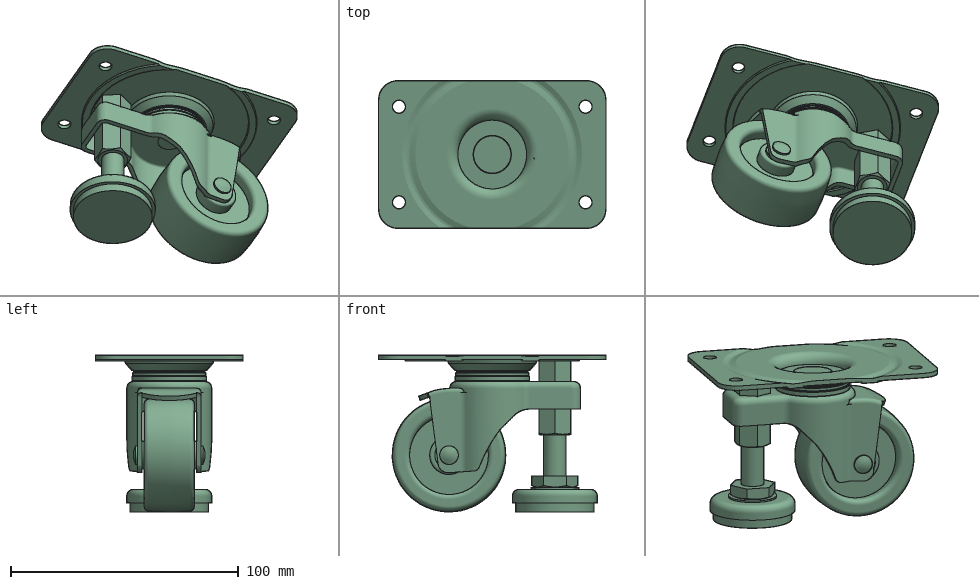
import cadquery as cq
import math


overall_height = 69.0
sheet = 2.0

plate_length = 100.0
plate_width = 65.0
plate_corner_radius = 8.6
bolt_pitch_x = 82.0
bolt_pitch_y = 42.0
bolt_hole_diameter = 5.6
plate_bottom = overall_height - sheet
bead_depth = 0.7
bead_top_radii = (33.7, 36.3, 37.3, 39.5)
bead_bottom_radii = (34.8, 35.2, 38.2, 38.6)
dish_mouth_radius = 20.1
dish_floor_radius = 15.1
dish_bottom = 62.3
dish_floor = dish_bottom + sheet
dish_root = (19.8, plate_bottom)
dish_shoulder = (19.2, 65.3)
dish_waist = (17.7, 63.6)
dish_toe = (16.5, dish_bottom)

lower_race_radius = 16.4
upper_race_radius = 16.1
upper_race_top = 61.5
seal_radius = 15.8
seal_bottom = 62.0
neck_radius = 15.3
race_split = 59.8
race_chamfer = 0.3
kingpin_radius = 5.0
kingpin_head_radius = 8.4
kingpin_head_height = 0.8
kingpin_head_chamfer = 0.2

crown_top = 57.4
crown_radius = 18.7
crown_fillet = 3.0
crown_fillet_bottom = crown_top - crown_fillet
arm_half_width = 11.5
arm_end = 38.8
arm_bottom = 45.2
arm_corner_radius = 4.0
leg_half_width = 14.0
junction_radius = 4.0
lip_edge_radius = 1.9
lip_bend = (-25.7, 53.4)
leg_top_middle = (-22.3, 54.1)
lip_tip = (-32.4, 50.9)
lip_side_reach = 3.9
lip_root_reach = 4.4
leg_bottom = 17.3
skirt_bottom = 18.0
leg_toe_start = (-23.7, 20.3)
leg_toe_middle = (-22.5, 18.5)
skirt_corner_start = (-8.3, skirt_bottom)
skirt_corner_middle = (-6.6, 18.6)
skirt_corner_end = (-5.6, 20.0)
skirt_bow_middle = (-1.7, 28.4)
skirt_bow_end = (3.4, 36.2)
arm_blend_start = (9.5, 42.3)
arm_blend_middle = (12.6, 44.4)
arm_blend_end = (16.6, arm_bottom)

wheel_x = -19.0
wheel_radius = 25.0
wheel_half_width = 11.0
tread_edge_radius = 24.6
tread_fillet = 2.0
rim_inner_radius = 17.3
rim_fillet = 2.2
web_half_width = 5.5
hub_radius = 8.5
hub_fillet = 1.0
spacer_radius = 6.2
axle_radius = 3.0
axle_head_radius = 4.1
axle_head_edge = 0.8
axle_head_dome = 1.0

foot_x = 27.5
pad_radius = 17.3
pad_height = 4.0
cup_radius = 18.7
cup_top = 10.0
cup_fillet = 3.0
washer_radius = 10.6
washer_top = 10.7
nut_across_flats = 17.6
nut_top = 15.9
stud_radius = 5.0
sleeve_across_flats = 14.0
sleeve_bottom = 33.9
sleeve_top = plate_bottom - bead_depth
sleeve_turn = 30.0
hex_face_share = 0.93
hex_chamfer_slope = 0.5

leg_inner_half_width = leg_half_width - sheet
lip_length = math.hypot(lip_bend[0] - lip_tip[0], lip_bend[1] - lip_tip[1])


def disc(radius, bottom, top, x=0.0):
    """Upright cylinder between two heights."""
    return cq.Workplane("XY", origin=(x, 0, bottom)).circle(radius).extrude(top - bottom)


def block(x_range, half_width, z_range):
    """Box that is symmetric about the XZ plane."""
    return cq.Workplane("XY").box(
        x_range[1] - x_range[0], 2 * half_width, z_range[1] - z_range[0], centered=(False, True, False)
    ).translate((x_range[0], 0, z_range[0]))


def hexagon(across_flats, bottom, top, turn=0.0):
    """Upright hexagonal bar on the foot axis, with a conical chamfer round its lower corners.

    Without a turn its corners point along X.
    """
    corner_radius = across_flats / math.sqrt(3)
    face_radius = hex_face_share * across_flats / 2
    height = top - bottom
    rise = (corner_radius - face_radius) * hex_chamfer_slope
    bar = cq.Workplane("XY").polygon(6, 2 * corner_radius).extrude(height)
    envelope = (
        cq.Workplane("XZ")
        .polyline([(0, 0), (face_radius, 0), (corner_radius, rise), (corner_radius, height), (0, height)])
        .close()
        .revolve(360, (0, 0, 0), (0, 1, 0))
    )
    return bar.intersect(envelope).rotate((0, 0, 0), (0, 0, 1), turn).translate((foot_x, 0, bottom))


def make_plate():
    """Pressed plate with a circular bead, a central dish and four bolt holes."""
    reach = math.hypot(plate_length, plate_width) / 2
    top_in, groove_in, groove_out, top_out = bead_top_radii
    foot_in, ridge_in, ridge_out, foot_out = bead_bottom_radii
    groove_floor = overall_height - bead_depth
    ridge_bottom = plate_bottom - bead_depth
    dish_rise = overall_height - dish_floor
    dish_sweep = dish_mouth_radius - dish_floor_radius
    dish_mid = (
        dish_mouth_radius - dish_sweep * math.sqrt(0.5),
        dish_floor + dish_rise * math.sqrt(0.5),
    )
    pressed = (
        cq.Workplane("XZ")
        .moveTo(kingpin_radius, dish_floor)
        .lineTo(dish_floor_radius, dish_floor)
        .threePointArc(dish_mid, (dish_mouth_radius, overall_height))
        .lineTo(top_in, overall_height)
        .lineTo(groove_in, groove_floor)
        .lineTo(groove_out, groove_floor)
        .lineTo(top_out, overall_height)
        .lineTo(reach, overall_height)
        .lineTo(reach, plate_bottom)
        .lineTo(foot_out, plate_bottom)
        .lineTo(ridge_out, ridge_bottom)
        .lineTo(ridge_in, ridge_bottom)
        .lineTo(foot_in, plate_bottom)
        .lineTo(*dish_root)
        .lineTo(*dish_shoulder)
        .lineTo(*dish_waist)
        .lineTo(*dish_toe)
        .lineTo(kingpin_radius, dish_bottom)
        .close()
        .revolve(360, (0, 0, 0), (0, 1, 0))
    )
    outline = (
        block((-plate_length / 2, plate_length / 2), plate_width / 2, (dish_bottom, overall_height))
        .edges("|Z")
        .fillet(plate_corner_radius)
    )
    bolt_holes = (
        cq.Workplane("XY", origin=(0, 0, dish_bottom))
        .rect(bolt_pitch_x, bolt_pitch_y, forConstruction=True)
        .vertices()
        .circle(bolt_hole_diameter / 2)
        .extrude(overall_height - dish_bottom)
    )
    return pressed.intersect(outline).cut(bolt_holes)


def make_swivel():
    """Two bearing races and a seal ring on a kingpin whose head is riveted over the dish floor."""
    lower_race = disc(lower_race_radius, crown_top, race_split).edges().chamfer(race_chamfer)
    upper_race = disc(upper_race_radius, race_split, upper_race_top).edges().chamfer(race_chamfer)
    neck = disc(neck_radius, upper_race_top, seal_bottom)
    seal = disc(seal_radius, seal_bottom, dish_bottom)
    kingpin = disc(kingpin_radius, crown_top - sheet, dish_floor)
    head = (
        disc(kingpin_head_radius, dish_floor, dish_floor + kingpin_head_height)
        .faces(">Z")
        .edges()
        .chamfer(kingpin_head_chamfer)
    )
    return lower_race.union(upper_race).union(neck).union(seal).union(kingpin).union(head)


def blend_contact(half_width, radius, blend):
    """Where a concave blend between the crown circle and a straight side starts and ends.

    Returns (X, Y) on the circle, (X, Y) halfway round the blend and (X, Y) on the side,
    all with positive X and Y.
    """
    centre_y = half_width + blend
    centre_x = math.sqrt((radius + blend) ** 2 - centre_y**2)
    share = radius / (radius + blend)
    on_circle = (centre_x * share, centre_y * share)
    on_side = (centre_x, half_width)
    middle_angle = (math.atan2(-centre_y, -centre_x) - math.pi / 2) / 2
    middle = (centre_x + blend * math.cos(middle_angle), centre_y + blend * math.sin(middle_angle))
    return on_circle, middle, on_side


def make_crown(inset):
    """Round crown and arm, drawn in from the outer skin by the inset."""
    radius = crown_radius - inset
    half_width = arm_half_width - inset
    end = arm_end - inset
    corner = arm_corner_radius - inset
    on_circle, middle, on_side = blend_contact(half_width, radius, junction_radius + inset)
    corner_middle = (end - corner * (1 - math.sqrt(0.5)), half_width - corner * (1 - math.sqrt(0.5)))
    crown_mid_angle = (math.atan2(on_circle[1], on_circle[0]) + math.pi) / 2
    half = (
        cq.Workplane("XY", origin=(0, 0, leg_bottom - inset))
        .moveTo(-radius, 0)
        .threePointArc((radius * math.cos(crown_mid_angle), radius * math.sin(crown_mid_angle)), on_circle)
        .threePointArc(middle, on_side)
        .lineTo(end - corner, half_width)
        .threePointArc(corner_middle, (end, half_width - corner))
        .lineTo(end, 0)
        .mirrorX()
    )
    solid = half.extrude(crown_top - leg_bottom)
    return solid.faces(">Z").edges().fillet(crown_fillet - inset)


def lip_point(reach, depth):
    """X, Z of a point set back from the lip tip along the lip, and below the lip's top face."""
    run = (lip_bend[0] - lip_tip[0]) / lip_length
    rise = (lip_bend[1] - lip_tip[1]) / lip_length
    return (lip_tip[0] + reach * run + depth * rise, lip_tip[1] + reach * rise - depth * run)


def lip_profile(drop):
    """Side face of the legs and the lip, with its top set below the outer skin by the drop."""
    beyond = lip_point(-lip_length, drop)
    return (
        cq.Workplane("XZ")
        .moveTo(0, leg_bottom - drop)
        .lineTo(0, crown_fillet_bottom - drop)
        .lineTo(-crown_radius, crown_fillet_bottom - drop)
        .threePointArc((leg_top_middle[0], leg_top_middle[1] - drop), lip_point(lip_length, drop))
        .lineTo(*beyond)
        .lineTo(beyond[0], leg_bottom - drop)
        .close()
    )


def make_leg_block():
    """Outer block of both legs and the lip, blended into the crown."""
    legs = lip_profile(0.0).extrude(leg_half_width, both=True)
    top_zone = cq.selectors.BoxSelector(
        (2 * lip_tip[0], -crown_radius, arm_bottom), (-junction_radius, crown_radius, overall_height)
    )
    legs = legs.edges(top_zone).edges("not |Y").fillet(lip_edge_radius)
    on_circle, middle, on_side = blend_contact(leg_half_width, crown_radius, junction_radius)
    blends = (
        cq.Workplane("XY", origin=(0, 0, leg_bottom))
        .moveTo(-on_side[0], 0)
        .lineTo(-on_side[0], on_side[1])
        .threePointArc((-middle[0], middle[1]), (-on_circle[0], on_circle[1]))
        .lineTo(-on_circle[0], 0)
        .mirrorX()
        .extrude(crown_fillet_bottom - lip_edge_radius - leg_bottom)
    )
    return legs.union(blends)


def make_lip_trim():
    """Waste round the lip: leaves a tongue between the legs with a rounded front, square to the lip."""
    clearance = 4.0
    under_tip = lip_point(0, sheet)
    lip_underside = cq.Plane(
        origin=(under_tip[0], 0, under_tip[1]),
        xDir=(lip_bend[0] - lip_tip[0], 0, lip_bend[1] - lip_tip[1]),
        normal=(lip_tip[1] - lip_bend[1], 0, lip_bend[0] - lip_tip[0]),
    )
    return (
        cq.Workplane(lip_underside)
        .moveTo(-lip_length, -leg_half_width - clearance)
        .lineTo(lip_root_reach, -leg_half_width - clearance)
        .lineTo(lip_root_reach, -leg_inner_half_width)
        .lineTo(lip_side_reach, -leg_inner_half_width)
        .threePointArc((0, 0), (lip_side_reach, leg_inner_half_width))
        .lineTo(lip_root_reach, leg_inner_half_width)
        .lineTo(lip_root_reach, leg_half_width + clearance)
        .lineTo(-lip_length, leg_half_width + clearance)
        .close()
        .extrude(sheet + clearance)
    )


def make_side_cut():
    """Side outline of the whole fork, from the lip round the legs and skirt to the arm."""
    outer = 1.1 * arm_end
    return (
        cq.Workplane("XZ")
        .moveTo(-outer, overall_height)
        .lineTo(*lip_point(-lip_length, sheet))
        .lineTo(*lip_point(lip_root_reach, sheet))
        .lineTo(*leg_toe_start)
        .threePointArc(leg_toe_middle, (wheel_x, leg_bottom))
        .lineTo(*skirt_corner_start)
        .threePointArc(skirt_corner_middle, skirt_corner_end)
        .threePointArc(skirt_bow_middle, skirt_bow_end)
        .lineTo(*arm_blend_start)
        .threePointArc(arm_blend_middle, arm_blend_end)
        .lineTo(outer, arm_bottom)
        .lineTo(outer, overall_height)
        .close()
        .extrude(crown_radius, both=True)
    )


def make_fork():
    """Pressed fork: an open-bottomed shell with holes for the kingpin, axle and foot sleeve."""
    cavity = make_crown(sheet).union(lip_profile(sheet).extrude(leg_inner_half_width, both=True))
    shell = make_crown(0.0).union(make_leg_block()).cut(cavity)
    shell = shell.intersect(make_side_cut()).cut(make_lip_trim())
    kingpin_hole = disc(kingpin_radius, crown_top - sheet, crown_top)
    axle_hole = (
        cq.Workplane("XZ", origin=(wheel_x, 0, wheel_radius))
        .circle(axle_radius)
        .extrude(leg_half_width, both=True)
    )
    sleeve_hole = hexagon(sleeve_across_flats, sleeve_bottom, sleeve_top, sleeve_turn)
    return shell.cut(kingpin_hole).cut(axle_hole).cut(sleeve_hole)


def make_tread_disc():
    """Solid disc with a crowned tread and rounded shoulders, bored for the axle."""
    shoulder = tread_edge_radius - tread_fillet
    tread_edge = wheel_half_width - tread_fillet
    round_radius = shoulder + tread_fillet * math.sqrt(0.5)
    round_y = tread_edge + tread_fillet * math.sqrt(0.5)
    return (
        cq.Workplane("XY")
        .moveTo(axle_radius, -wheel_half_width)
        .lineTo(shoulder, -wheel_half_width)
        .threePointArc((round_radius, -round_y), (tread_edge_radius, -tread_edge))
        .threePointArc((wheel_radius, 0), (tread_edge_radius, tread_edge))
        .threePointArc((round_radius, round_y), (shoulder, wheel_half_width))
        .lineTo(axle_radius, wheel_half_width)
        .close()
        .revolve(360, (0, 0, 0), (0, 1, 0))
    )


def make_web_recess():
    """Ring-shaped recess between hub and rim on the +Y side, with rounded lips."""
    rim_round = rim_fillet * (1 - math.sqrt(0.5))
    hub_round = hub_fillet * (1 - math.sqrt(0.5))
    return (
        cq.Workplane("XY")
        .moveTo(hub_radius - hub_fillet, wheel_half_width)
        .threePointArc(
            (hub_radius - hub_round, wheel_half_width - hub_round),
            (hub_radius, wheel_half_width - hub_fillet),
        )
        .lineTo(hub_radius, web_half_width)
        .lineTo(rim_inner_radius, web_half_width)
        .lineTo(rim_inner_radius, wheel_half_width - rim_fillet)
        .threePointArc(
            (rim_inner_radius + rim_round, wheel_half_width - rim_round),
            (rim_inner_radius + rim_fillet, wheel_half_width),
        )
        .close()
        .revolve(360, (0, 0, 0), (0, 1, 0))
    )


def make_wheel():
    """Wheel with a recessed web on both sides and hub spacers that touch the legs."""
    recess = make_web_recess()
    spacers = (
        cq.Workplane("XZ")
        .circle(spacer_radius)
        .circle(axle_radius)
        .extrude(leg_inner_half_width, both=True)
    )
    wheel = make_tread_disc().cut(recess).cut(recess.mirror("XZ")).union(spacers)
    return wheel.translate((wheel_x, 0, wheel_radius))


def make_axle():
    """Riveted axle with a domed head outside each leg."""
    edge = leg_half_width + axle_head_edge
    half = (
        cq.Workplane("XY")
        .moveTo(0, edge + axle_head_dome)
        .threePointArc((axle_head_radius / 2, edge + 0.75 * axle_head_dome), (axle_head_radius, edge))
        .lineTo(axle_head_radius, leg_half_width)
        .lineTo(axle_radius, leg_half_width)
        .lineTo(axle_radius, 0)
        .mirrorX()
    )
    return half.revolve(360, (0, 0, 0), (0, 1, 0)).translate((wheel_x, 0, wheel_radius))


def make_foot():
    """Floor pad and cup on a stud with a spanner hexagon, rising into the hexagonal sleeve."""
    pad = disc(pad_radius, 0, pad_height, foot_x)
    cup = disc(cup_radius, pad_height, cup_top, foot_x).faces(">Z").edges().fillet(cup_fillet)
    washer = disc(washer_radius, cup_top, washer_top, foot_x)
    nut = hexagon(nut_across_flats, washer_top, nut_top)
    stud = disc(stud_radius, nut_top, sleeve_bottom, foot_x)
    sleeve = hexagon(sleeve_across_flats, sleeve_bottom, sleeve_top, sleeve_turn)
    return pad.union(cup).union(washer).union(nut).union(stud).union(sleeve)


plate = make_plate()
swivel = make_swivel()
fork = make_fork()
wheel = make_wheel()
axle = make_axle()
foot = make_foot()

result = cq.Compound.makeCompound(
    [plate.val(), swivel.val(), fork.val(), wheel.val(), axle.val(), foot.val()]
)